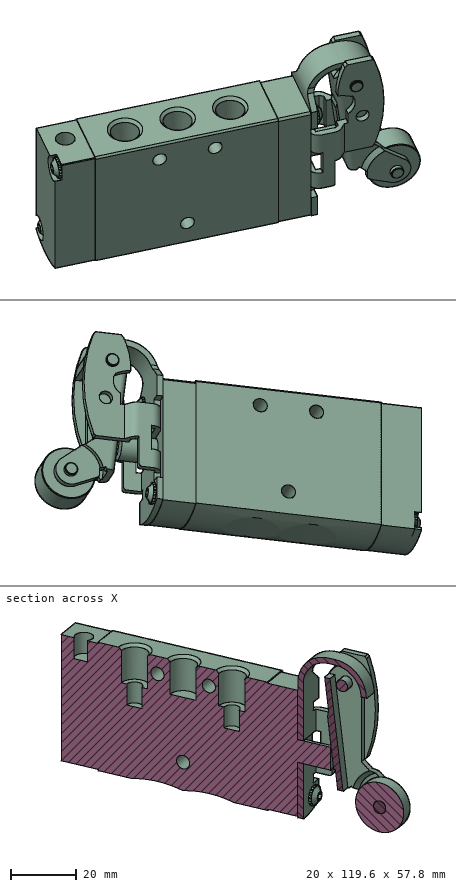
import cadquery as cq
import math


REAR_CAP_LENGTH = 12.9
HOUSING_END = 72.0
VALVE_LENGTH = 82.5

HOUSING_WIDTH = 19.9
HOUSING_TOP = 44.0
HOUSING_CHAMFER = 0.6
CAP_WIDTH = 19.1
CAP_TOP = 43.7
FRONT_CAP_CHAMFER = 0.7
REAR_CAP_CHAMFER = 0.2
BOTTOM_EDGE_Z = 2.3
CAP_BOTTOM_Z = 0.4

PORT_PITCH = 17.0
MIDDLE_PORT_Y = 42.6
PORT_DIAMETER = 9.0
PORT_DEPTH = 12.0
PORT_CHAMFER = 1.0
PORT_DUCT_DIAMETER = 5.1
PORT_DUCT_DEPTH = 7.2
PILOT_X = -1.9
PILOT_Y = 6.9
PILOT_DIAMETER = 6.0
PILOT_DEPTH = 7.2

MOUNT_DIAMETER = 4.4
MOUNT_SPACING = 17.9
UPPER_MOUNT_Z = 37.9
LOWER_MOUNT_Z = 9.8
SCALLOP_RADIUS = 35.9
SCALLOP_DEPTH = 1.1

PLUNGER_DIAMETER = 8.0
PLUNGER_Z = 22.8
PLUNGER_END = 94.0

SCREW_X = 6.5
UPPER_SCREW_Z = 40.2
LOWER_SCREW_Z = 5.5
SCREW_PLACES = [(SCREW_X, UPPER_SCREW_Z), (-SCREW_X, LOWER_SCREW_Z)]
SHANK_DIAMETER = 3.1
WASHER_DIAMETER = 6.8
WASHER_ROOT_DIAMETER = 6.0
WASHER_THICKNESS = 0.8
WASHER_TEETH = 18
HEAD_DIAMETER = 6.0
HEAD_TOP_DIAMETER = 3.1
HEAD_HEIGHT = 1.3
SOCKET_DIAMETER = 2.5
SOCKET_DEPTH = 1.0
SCREW_POCKET_DIAMETER = 8.0
SCREW_POCKET_DEPTH = WASHER_THICKNESS + HEAD_HEIGHT

SHEET = 2.0
BRACKET_WIDTH = 20.0
PLATE_FRONT = VALVE_LENGTH + SHEET
SHOULDER_Z = 44.1
TAPER_HALF_WIDTH, TAPER_Z = 5.6, 48.1
NECK_Z = 49.6
CHEEK_INSIDE = 5.0
CHEEK_OUTSIDE = CHEEK_INSIDE + SHEET
HOOK_TOP = 57.2
HOOK_RADIUS = 10.9
HOOK_FLAT = 2.3
WING_BOTTOM = 12.5
WING_TOP = 34.2
WING_END = 90.2
WING_CORNER = 0.8
BEND_RADIUS = 3.3
JOG_CORNER = 91.6
JOG_END = 94.1
JOG_BEND_RADIUS = 3.1
CHEEK_BOTTOM = 22.6
CHEEK_TOP = 57.8
CHEEK_FRONT = 106.9
CHEEK_END_FRONT = 103.8
CHEEK_CORNER = 0.6
NOTCH_WALL = 95.3
NOTCH_ARC_START = 37.9
NOTCH_ARC_DEEPEST = (97.6, 41.5)
NOTCH_ARC_END = (96.7, 44.5)
NOTCH_LIP_MIDDLE = (94.5, 45.5)
NOTCH_LIP_END = (92.0, 46.0)
CHEEK_BACK_MIDDLE = (92.3, 50.2)
CHEEK_BACK_END = (94.2, 56.8)
CHEEK_TOP_BACK = 95.1
RELIEF = 3.0
WINDOW_END = 86.2
CHEEK_HOLE_Y = 100.0
CHEEK_HOLE_Z = 35.9
CHEEK_HOLE_DIAMETER = 4.2

PIN_DIAMETER = 4.1
PIN_LENGTH = 15.7
PIN_CHAMFER = 0.2
PIVOT_Y, PIVOT_Z = 98.0, 48.7
ROLLER_DIAMETER = 17.0
ROLLER_WIDTH = 8.5
ROLLER_CHAMFER = 0.2
OVERALL_LENGTH = 119.6
ROLLER_Y = OVERALL_LENGTH - ROLLER_DIAMETER / 2
ROLLER_Z = 10.2

ROLLER_CLEARANCE = 0.1
ARM_INSIDE = ROLLER_WIDTH / 2 + ROLLER_CLEARANCE
ARM_RADIUS = 4.7
ARM_START_ANGLE, ARM_STOP_ANGLE = 53, -114
SPREAD_INNER_RADIUS = 9.7
SPREAD_OUTER_RADIUS = 11.2
LEVER_REACH = 53.8
WEB_TOP_Y, WEB_TOP_Z = 91.8, 50.2
WEB_BOTTOM_Y, WEB_BOTTOM_Z = 96.4, 12.7
WEB_BEND_RADIUS = 1.9
PAD_WIDTH = 4.8
PAD_HEIGHT = 0.6
PAD_START, PAD_END = 0.3, 0.82
PAD_SLOPE = 0.05
LEVER_TOP_Z = 53.9
LEVER_FRONT_Y = 103.1
LEVER_HEEL = [(102.6, 8.8), (101.8, 9.6), (101.8, 12.1), (99.5, 13.4), (98.9, WEB_BOTTOM_Z)]


def cylinder_x(diameter, length, y, z):
    """Cylinder along X, centred on X = 0."""
    return cq.Workplane("YZ", origin=(-length / 2, y, z)).circle(diameter / 2).extrude(length)


def cylinder_y(diameter, y_start, y_end, x, z):
    """Cylinder along Y between two stations."""
    return cq.Workplane("XZ", origin=(x, y_start, z)).circle(diameter / 2).extrude(y_start - y_end)


def box(x_range, y_range, z_range):
    """Box between pairs of limits."""
    corner = (x_range[0], y_range[0], z_range[0])
    size = (x_range[1] - x_range[0], y_range[1] - y_range[0], z_range[1] - z_range[0])
    return cq.Workplane("XY").box(*size, centered=False).translate(corner)


def side_profile(center_x, thickness):
    """Workplane in YZ whose extrusion by `thickness` is centred on X = center_x."""
    return cq.Workplane("YZ", origin=(center_x - thickness / 2, 0, 0))



def valve_block(width, bottom, top, y_start, y_end, chamfer):
    """Length of valve with a curved bottom and chamfered upper long edges."""
    half = width / 2
    block = (
        cq.Workplane("XZ", origin=(0, y_start, 0))
        .moveTo(-half, BOTTOM_EDGE_Z)
        .threePointArc((0, bottom), (half, BOTTOM_EDGE_Z))
        .lineTo(half, top)
        .lineTo(-half, top)
        .close()
        .extrude(y_start - y_end)
    )
    return block.faces(">Z").edges("|Y").chamfer(chamfer)


def make_screw(seat_y, direction, x, z, shank_length):
    """Screw with a toothed washer on its seat; its head points along Y in `direction`."""
    tooth_points = []
    for i in range(2 * WASHER_TEETH):
        radius = (WASHER_DIAMETER if i % 2 else WASHER_ROOT_DIAMETER) / 2
        angle = math.pi * i / WASHER_TEETH
        tooth_points.append((radius * math.cos(angle), radius * math.sin(angle)))
    plane = cq.Plane(origin=(x, seat_y, z), xDir=(1, 0, 0), normal=(0, direction, 0))
    washer = cq.Workplane(plane).polyline(tooth_points).close().extrude(WASHER_THICKNESS)
    shank = cq.Workplane(plane).circle(SHANK_DIAMETER / 2).extrude(-shank_length)
    head = (
        cq.Workplane(plane)
        .workplane(offset=WASHER_THICKNESS)
        .circle(HEAD_DIAMETER / 2)
        .workplane(offset=HEAD_HEIGHT)
        .circle(HEAD_TOP_DIAMETER / 2)
        .loft()
    )
    socket = (
        cq.Workplane(plane)
        .workplane(offset=WASHER_THICKNESS + HEAD_HEIGHT - SOCKET_DEPTH)
        .polygon(6, SOCKET_DIAMETER)
        .extrude(SOCKET_DEPTH)
    )
    return washer.union(shank).union(head).cut(socket)


def make_valve():
    housing = valve_block(HOUSING_WIDTH, 0, HOUSING_TOP, REAR_CAP_LENGTH, HOUSING_END, HOUSING_CHAMFER)
    rear_cap = valve_block(CAP_WIDTH, CAP_BOTTOM_Z, CAP_TOP, 0, REAR_CAP_LENGTH, REAR_CAP_CHAMFER)
    front_cap = valve_block(CAP_WIDTH, CAP_BOTTOM_Z, CAP_TOP, HOUSING_END, VALVE_LENGTH, FRONT_CAP_CHAMFER)
    valve = housing.union(rear_cap).union(front_cap)

    for side in (-1, 0, 1):
        port = (
            cq.Workplane("XY", origin=(0, MIDDLE_PORT_Y + side * PORT_PITCH, HOUSING_TOP))
            .circle(PORT_DIAMETER / 2)
            .extrude(-PORT_DEPTH)
        )
        mouth = (
            cq.Workplane("XY", origin=(0, MIDDLE_PORT_Y + side * PORT_PITCH, HOUSING_TOP))
            .circle(PORT_DIAMETER / 2 + PORT_CHAMFER)
            .workplane(offset=-PORT_CHAMFER)
            .circle(PORT_DIAMETER / 2)
            .loft()
        )
        valve = valve.cut(port).cut(mouth)
        if side:
            duct = port.faces("<Z").workplane().circle(PORT_DUCT_DIAMETER / 2).extrude(PORT_DUCT_DEPTH)
            valve = valve.cut(duct)
    pilot = cq.Workplane("XY", origin=(PILOT_X, PILOT_Y, CAP_TOP)).circle(PILOT_DIAMETER / 2)
    valve = valve.cut(pilot.extrude(-PILOT_DEPTH))

    valve = valve.cut(cylinder_x(MOUNT_DIAMETER, HOUSING_WIDTH, MIDDLE_PORT_Y, LOWER_MOUNT_Z))
    for side in (-1, 1):
        y = MIDDLE_PORT_Y + side * MOUNT_SPACING / 2
        valve = valve.cut(cylinder_x(MOUNT_DIAMETER, HOUSING_WIDTH, y, UPPER_MOUNT_Z))
        scallop_z = SCALLOP_DEPTH - SCALLOP_RADIUS
        valve = valve.cut(cylinder_x(2 * SCALLOP_RADIUS, HOUSING_WIDTH, y, scallop_z))

    for x, z in SCREW_PLACES:
        valve = valve.cut(cylinder_y(SCREW_POCKET_DIAMETER, 0, SCREW_POCKET_DEPTH, x, z))
        valve = valve.union(make_screw(SCREW_POCKET_DEPTH, -1, x, z, SHEET))
        valve = valve.union(make_screw(PLATE_FRONT, 1, x, z, 2 * SHEET))

    corner_x = (SCREW_X, CAP_WIDTH / 2)
    corner_z = (UPPER_SCREW_Z, CAP_TOP)
    pocket_corner = box(corner_x, (0, SCREW_POCKET_DEPTH), corner_z)
    pocket_screw_room = cylinder_y(WASHER_DIAMETER, 0, SCREW_POCKET_DEPTH, SCREW_X, UPPER_SCREW_Z)
    valve = valve.cut(pocket_corner.cut(pocket_screw_room))

    plunger = cylinder_y(PLUNGER_DIAMETER, HOUSING_END, PLUNGER_END, 0, PLUNGER_Z)
    return valve.union(plunger)



def hooked_plate():
    """End plate that narrows to a strip and hooks over the lever."""
    half = BRACKET_WIDTH / 2
    inner = HOOK_RADIUS - SHEET
    spring_z = HOOK_TOP - HOOK_RADIUS
    back_y = VALVE_LENGTH + HOOK_RADIUS
    front_y = back_y + HOOK_FLAT
    diagonal = math.sqrt(0.5)
    strip = (
        side_profile(0, BRACKET_WIDTH)
        .moveTo(VALVE_LENGTH, 0)
        .lineTo(VALVE_LENGTH, spring_z)
        .threePointArc(
            (back_y - HOOK_RADIUS * diagonal, spring_z + HOOK_RADIUS * diagonal), (back_y, HOOK_TOP)
        )
        .lineTo(front_y, HOOK_TOP)
        .threePointArc(
            (front_y + HOOK_RADIUS * diagonal, spring_z + HOOK_RADIUS * diagonal),
            (front_y + HOOK_RADIUS, spring_z),
        )
        .lineTo(front_y + inner, spring_z)
        .threePointArc(
            (front_y + inner * diagonal, spring_z + inner * diagonal), (front_y, spring_z + inner)
        )
        .lineTo(back_y, spring_z + inner)
        .threePointArc(
            (back_y - inner * diagonal, spring_z + inner * diagonal), (back_y - inner, spring_z)
        )
        .lineTo(PLATE_FRONT, 0)
        .close()
        .extrude(BRACKET_WIDTH)
    )
    outline = (
        cq.Workplane("XZ", origin=(0, VALVE_LENGTH, 0))
        .moveTo(-half, BOTTOM_EDGE_Z)
        .threePointArc((0, 0), (half, BOTTOM_EDGE_Z))
        .lineTo(half, SHOULDER_Z)
        .lineTo(TAPER_HALF_WIDTH, TAPER_Z)
        .lineTo(CHEEK_INSIDE, NECK_Z)
        .lineTo(CHEEK_INSIDE, HOOK_TOP)
        .lineTo(-CHEEK_INSIDE, HOOK_TOP)
        .lineTo(-CHEEK_INSIDE, NECK_Z)
        .lineTo(-TAPER_HALF_WIDTH, TAPER_Z)
        .lineTo(-half, SHOULDER_Z)
        .close()
        .extrude(-HOOK_RADIUS)
    )
    neck = (-CHEEK_INSIDE, CHEEK_INSIDE)
    hook_front = box(neck, (back_y, front_y + HOOK_RADIUS), (spring_z, HOOK_TOP))
    return strip.intersect(outline.union(hook_front))


def cheek():
    """Upright plate at +X that carries the pivot pin."""
    return (
        side_profile(CHEEK_INSIDE + SHEET / 2, SHEET)
        .moveTo(CHEEK_END_FRONT - CHEEK_CORNER, CHEEK_BOTTOM)
        .lineTo(JOG_END, CHEEK_BOTTOM)
        .lineTo(JOG_END, WING_TOP)
        .lineTo(NOTCH_WALL, WING_TOP)
        .lineTo(NOTCH_WALL, NOTCH_ARC_START)
        .threePointArc(NOTCH_ARC_DEEPEST, NOTCH_ARC_END)
        .threePointArc(NOTCH_LIP_MIDDLE, NOTCH_LIP_END)
        .threePointArc(CHEEK_BACK_MIDDLE, CHEEK_BACK_END)
        .lineTo(CHEEK_TOP_BACK, CHEEK_TOP)
        .lineTo(CHEEK_END_FRONT - CHEEK_CORNER, CHEEK_TOP)
        .lineTo(CHEEK_END_FRONT, CHEEK_TOP - CHEEK_CORNER)
        .threePointArc(
            (CHEEK_FRONT, (CHEEK_TOP + CHEEK_BOTTOM) / 2), (CHEEK_END_FRONT, CHEEK_BOTTOM + CHEEK_CORNER)
        )
        .close()
        .extrude(SHEET)
    )


def wing():
    """Side wing at +X, bent from the end plate, with the jog that leads in to the cheek."""
    outside = BRACKET_WIDTH / 2
    inside = outside - SHEET
    wing_plate = box((inside, outside), (VALVE_LENGTH, WING_END), (WING_BOTTOM, WING_TOP))
    wing_plate = wing_plate.edges("|X and >Y and <Z").fillet(WING_CORNER)
    foot = box((0, outside), (VALVE_LENGTH, PLATE_FRONT), (WING_BOTTOM, WING_TOP))
    bent = foot.union(wing_plate)
    bent = bent.edges("|Z and >X and <Y").fillet(BEND_RADIUS)
    jog = (
        cq.Workplane("XY", origin=(0, 0, CHEEK_BOTTOM))
        .polyline(
            [
                (outside, WING_END - WING_CORNER),
                (outside, JOG_CORNER),
                (CHEEK_OUTSIDE, JOG_END),
                (CHEEK_INSIDE, JOG_END),
                (CHEEK_INSIDE, JOG_END - SHEET),
                (inside - WING_CORNER, JOG_END - SHEET),
                (inside, JOG_CORNER - WING_CORNER),
                (inside, WING_END - WING_CORNER),
            ]
        )
        .close()
        .extrude(WING_TOP - CHEEK_BOTTOM)
    )
    jog_corner = cq.NearestToPointSelector((outside, JOG_CORNER, (WING_TOP + CHEEK_BOTTOM) / 2))
    jog = jog.edges(jog_corner).fillet(JOG_BEND_RADIUS)
    return bent.union(jog)


def make_bracket():
    plate = hooked_plate()
    outside = BRACKET_WIDTH / 2
    edge_zone = (outside - BEND_RADIUS, outside)
    depth = (VALVE_LENGTH, PLATE_FRONT)
    clearance = box(edge_zone, depth, (WING_BOTTOM - RELIEF, WING_TOP + RELIEF))
    side = wing().union(cheek())
    window_z = (PLUNGER_Z - PLUNGER_DIAMETER / 2, PLUNGER_Z + PLUNGER_DIAMETER / 2)
    side = side.cut(cylinder_x(CHEEK_HOLE_DIAMETER, BRACKET_WIDTH, CHEEK_HOLE_Y, CHEEK_HOLE_Z))
    plate = plate.cut(clearance).cut(clearance.mirror("YZ"))
    bracket = plate.union(side).union(side.mirror("YZ"))
    bracket = bracket.cut(box((-outside, outside), (VALVE_LENGTH, WINDOW_END), window_z))

    for x, z in SCREW_PLACES:
        bracket = bracket.cut(cylinder_y(SHANK_DIAMETER, VALVE_LENGTH, PLATE_FRONT, x, z))
    return bracket.cut(cylinder_x(PIN_DIAMETER, PIN_LENGTH, PIVOT_Y, PIVOT_Z))



def arm_end_point(angle):
    """(Y, Z) on the round end of the arms, with the angle in degrees from +Y towards +Z."""
    radians = math.radians(angle)
    return (ROLLER_Y + ARM_RADIUS * math.cos(radians), ROLLER_Z + ARM_RADIUS * math.sin(radians))


def lever_outline():
    """Side outline of the lever as a block wider than the arms."""
    width = BRACKET_WIDTH
    return (
        side_profile(0, width)
        .moveTo(WEB_BOTTOM_Y, WEB_BOTTOM_Z)
        .lineTo(WEB_TOP_Y, WEB_TOP_Z)
        .threePointArc((PIVOT_Y, LEVER_TOP_Z), (LEVER_FRONT_Y, PIVOT_Z))
        .lineTo(LEVER_FRONT_Y, CHEEK_BOTTOM)
        .lineTo(*arm_end_point(ARM_START_ANGLE))
        .threePointArc(arm_end_point((ARM_START_ANGLE + ARM_STOP_ANGLE) / 2), arm_end_point(ARM_STOP_ANGLE))
        .polyline(LEVER_HEEL, includeCurrent=True)
        .close()
        .extrude(width)
    )


def lever_side(outline):
    """Side sheet at +X, dished around the roller axis where the arm spreads outwards."""
    wall_inside = CHEEK_INSIDE - SHEET
    profile = [
        (ARM_INSIDE, 0),
        (ARM_INSIDE, SPREAD_INNER_RADIUS),
        (wall_inside, SPREAD_OUTER_RADIUS),
        (wall_inside, LEVER_REACH),
        (CHEEK_INSIDE, LEVER_REACH),
        (CHEEK_INSIDE, SPREAD_OUTER_RADIUS),
        (ARM_INSIDE + SHEET, SPREAD_INNER_RADIUS),
        (ARM_INSIDE + SHEET, 0),
    ]
    dished_sheet = (
        cq.Workplane("XY", origin=(0, ROLLER_Y, ROLLER_Z))
        .polyline(profile)
        .close()
        .revolve(360, (0, 0, 0), (1, 0, 0))
    )
    return dished_sheet.intersect(outline)


def web_point(fraction, height):
    """(Y, Z) on the outer face of the web, raised towards the valve by `height`."""
    y = WEB_TOP_Y + fraction * (WEB_BOTTOM_Y - WEB_TOP_Y)
    z = WEB_TOP_Z + fraction * (WEB_BOTTOM_Z - WEB_TOP_Z)
    return (y - height, z)


def bearing_pad():
    """Raised strip on the web, sloped at its upper end."""
    return (
        side_profile(0, PAD_WIDTH)
        .polyline(
            [
                web_point(PAD_START, 0),
                web_point(PAD_START + PAD_SLOPE, PAD_HEIGHT),
                web_point(PAD_END, PAD_HEIGHT),
                web_point(PAD_END, 0),
            ]
        )
        .close()
        .extrude(PAD_WIDTH)
    )


def make_lever():
    outline = lever_outline()
    side = lever_side(outline)
    web = (
        side_profile(0, 2 * CHEEK_INSIDE)
        .polyline(
            [
                (WEB_BOTTOM_Y, WEB_BOTTOM_Z),
                (WEB_TOP_Y, WEB_TOP_Z),
                (WEB_TOP_Y + SHEET, WEB_TOP_Z),
                (WEB_BOTTOM_Y + SHEET, WEB_BOTTOM_Z),
            ]
        )
        .close()
        .extrude(2 * CHEEK_INSIDE)
    )
    lever = web.union(side).union(side.mirror("YZ"))
    web_middle = ((WEB_TOP_Y + WEB_BOTTOM_Y) / 2, (WEB_TOP_Z + WEB_BOTTOM_Z) / 2)
    for x in (-CHEEK_INSIDE, CHEEK_INSIDE):
        corner = cq.NearestToPointSelector((x, *web_middle))
        lever = lever.edges(corner).fillet(WEB_BEND_RADIUS)
    for y, z in ((PIVOT_Y, PIVOT_Z), (ROLLER_Y, ROLLER_Z)):
        lever = lever.cut(cylinder_x(PIN_DIAMETER, PIN_LENGTH, y, z))
    return lever.union(bearing_pad())


def make_roller():
    roller = cylinder_x(ROLLER_DIAMETER, ROLLER_WIDTH, ROLLER_Y, ROLLER_Z)
    roller = roller.faces("<X or >X").edges().chamfer(ROLLER_CHAMFER)
    return roller.cut(cylinder_x(PIN_DIAMETER, ROLLER_WIDTH, ROLLER_Y, ROLLER_Z))


def make_pin(y, z):
    pin = cylinder_x(PIN_DIAMETER, PIN_LENGTH, y, z)
    return pin.faces("<X or >X").edges().chamfer(PIN_CHAMFER)


valve = make_valve()
bracket = make_bracket()
lever = make_lever()
roller = make_roller()
pins = [make_pin(y, z) for y, z in ((PIVOT_Y, PIVOT_Z), (ROLLER_Y, ROLLER_Z))]

result = cq.Compound.makeCompound(
    [body.solids().val() for body in (valve, bracket, lever, roller, *pins)]
)